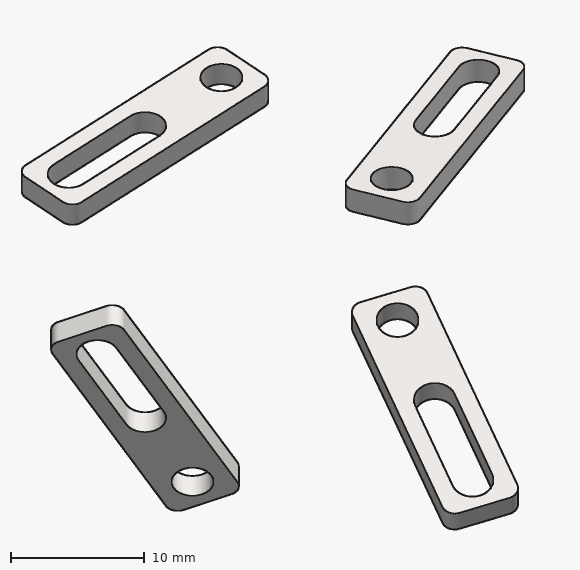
import cadquery as cq

length = 21.1
width = 6.0
thickness = 2.0
corner_radius = 1.0

opening_width = 3.15
hole_y = 8.0
slot_y = -3.99
slot_straight_length = 8.0
slot_length = slot_straight_length + opening_width

plate = (
    cq.Workplane("XY")
    .box(width, length, thickness)
    .edges("|Z")
    .fillet(corner_radius)
)

with_hole = (
    plate.faces(">Z")
    .workplane(origin=(0, 0, 0))
    .center(0, hole_y)
    .hole(opening_width)
)

result = (
    with_hole.faces(">Z")
    .workplane(origin=(0, 0, 0))
    .center(0, slot_y)
    .slot2D(slot_length, opening_width, angle=90)
    .cutThruAll()
)